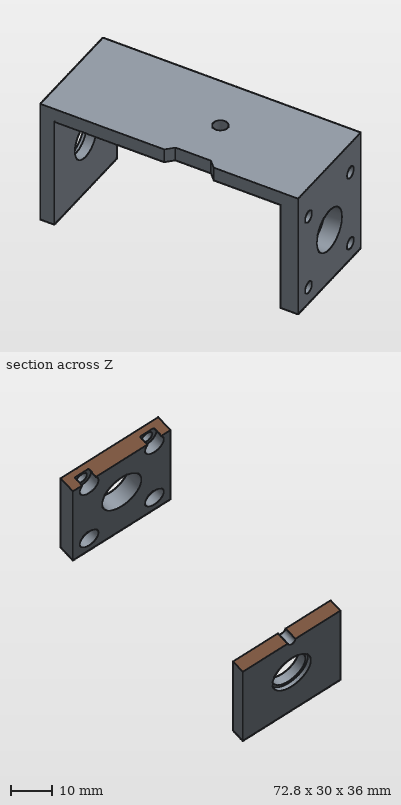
import cadquery as cq

LENGTH = 72.8
WIDTH = 30.0
HEIGHT = 36.0
TOP_THICKNESS = 4.0
LEFT_LEG_THICKNESS = 4.0
RIGHT_LEG_THICKNESS = 5.0

BORE_HEIGHT = 16.0
LEFT_BORE_DIAMETER = 10.25
LEFT_RECESS_DIAMETER = 11.75
LEFT_RECESS_DEPTH = 1.25
RIGHT_BORE_DIAMETER = 12.0

PIN_HOLE_DIAMETER = 2.25
PIN_HOLE_HEIGHT = 29.0

SCREW_DIAMETER = 3.25
SCREW_HEAD_DIAMETER = 5.75
SCREW_HEAD_DEPTH = 3.0
SCREW_SPACING_Y = 20.0
SCREW_SPACING_Z = 22.0

TOP_FEATURES_X = 42.0
TOP_HOLE_DIAMETER = 4.0
NOTCH_DEPTH = 2.0
NOTCH_FLOOR_LENGTH = 10.0

FRONT_Y = -WIDTH / 2
RIGHT_LEG_INNER_X = LENGTH - RIGHT_LEG_THICKNESS


def make_body():
    """U-shaped body with its outer left face at X = 0 and its feet at Z = 0."""
    block = cq.Workplane("XY").box(LENGTH, WIDTH, HEIGHT, centered=(False, True, False))
    opening = (
        cq.Workplane("XY")
        .box(
            RIGHT_LEG_INNER_X - LEFT_LEG_THICKNESS,
            WIDTH,
            HEIGHT - TOP_THICKNESS,
            centered=(False, True, False),
        )
        .translate((LEFT_LEG_THICKNESS, 0, 0))
    )
    return block.cut(opening)


def x_cylinder(diameter, start_x, length, y, z):
    """Cylinder running along +X from start_x."""
    return cq.Workplane("YZ", origin=(start_x, y, z)).circle(diameter / 2).extrude(length)


def cut_left_leg(body):
    """Recessed bore and the small through hole above it."""
    body = body.cut(x_cylinder(LEFT_BORE_DIAMETER, 0, LEFT_LEG_THICKNESS, 0, BORE_HEIGHT))
    body = body.cut(x_cylinder(LEFT_RECESS_DIAMETER, 0, LEFT_RECESS_DEPTH, 0, BORE_HEIGHT))
    return body.cut(x_cylinder(PIN_HOLE_DIAMETER, 0, LEFT_LEG_THICKNESS, 0, PIN_HOLE_HEIGHT))


def cut_right_leg(body):
    """Plain bore and four screw holes with their heads recessed on the inner face."""
    inner_x = RIGHT_LEG_INNER_X
    body = body.cut(x_cylinder(RIGHT_BORE_DIAMETER, inner_x, RIGHT_LEG_THICKNESS, 0, BORE_HEIGHT))
    for side_y in (-1, 1):
        for side_z in (-1, 1):
            y = side_y * SCREW_SPACING_Y / 2
            z = BORE_HEIGHT + side_z * SCREW_SPACING_Z / 2
            body = body.cut(x_cylinder(SCREW_DIAMETER, inner_x, RIGHT_LEG_THICKNESS, y, z))
            body = body.cut(x_cylinder(SCREW_HEAD_DIAMETER, inner_x, SCREW_HEAD_DEPTH, y, z))
    return body


def cut_top_plate(body):
    """Vertical through hole and the front edge notch with 45 degree ends."""
    plate_bottom = cq.Workplane("XY", origin=(TOP_FEATURES_X, 0, HEIGHT - TOP_THICKNESS))
    hole = plate_bottom.circle(TOP_HOLE_DIAMETER / 2).extrude(TOP_THICKNESS)
    half_floor = NOTCH_FLOOR_LENGTH / 2
    half_mouth = half_floor + NOTCH_DEPTH
    floor_y = FRONT_Y + NOTCH_DEPTH
    notch = (
        plate_bottom.moveTo(-half_mouth, FRONT_Y)
        .lineTo(half_mouth, FRONT_Y)
        .lineTo(half_floor, floor_y)
        .lineTo(-half_floor, floor_y)
        .close()
        .extrude(TOP_THICKNESS)
    )
    return body.cut(hole).cut(notch)


result = cut_top_plate(cut_right_leg(cut_left_leg(make_body())))